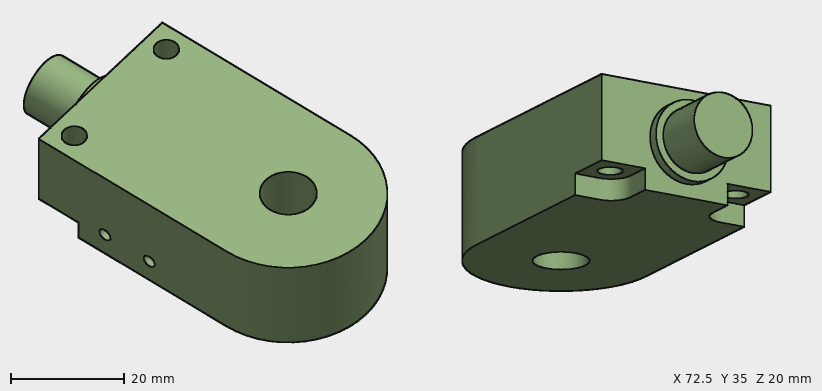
import cadquery as cq
import math

total_length = 72.5
housing_width = 35.0
housing_height = 20.0

flange_diameter = 15.0
flange_length = 2.0
barrel_diameter = 12.0
barrel_length = 10.5

housing_length = total_length - flange_length - barrel_length
nose_radius = housing_width / 2
nose_center_x = housing_length - nose_radius
bore_diameter = 10.1

mount_diameter = 4.5
mount_inset = 4.5
recess_side = 9.0
recess_height = 4.0
recess_corner_radius = 4.0

drill_diameter = 2.5
drill_depth = 5.0
drill_tip_angle = 118.0
drill_z = 5.0
first_drill_x = 15.0
drill_spacing = 10.0
drill_count = 2


def housing_blank():
    """Block with one semicircular end."""
    return (
        cq.Workplane("XY")
        .moveTo(0, -nose_radius)
        .lineTo(nose_center_x, -nose_radius)
        .threePointArc((housing_length, 0), (nose_center_x, nose_radius))
        .lineTo(0, nose_radius)
        .close()
        .extrude(housing_height)
    )


def vertical_hole(diameter, x, y):
    """Cutter for a hole through the full housing height."""
    return cq.Workplane("XY").center(x, y).circle(diameter / 2).extrude(housing_height)


def corner_recess(side):
    """Cutter for the bottom corner on the given Y side, its inner corner rounded."""
    center_x = recess_side / 2
    center_y = side * (nose_radius - recess_side / 2)
    inner_edge = ">X and <Y" if side > 0 else ">X and >Y"
    return (
        cq.Workplane("XY")
        .center(center_x, center_y)
        .rect(recess_side, recess_side)
        .extrude(recess_height)
        .edges("|Z")
        .edges(inner_edge)
        .fillet(recess_corner_radius)
    )


def drilled_hole(x):
    """Cutter for a blind hole with a conical tip, running from the -Y side towards +Y."""
    radius = drill_diameter / 2
    tip_length = radius / math.tan(math.radians(drill_tip_angle / 2))
    entry_y = -nose_radius
    shoulder_y = entry_y + drill_depth
    return (
        cq.Workplane("XY")
        .moveTo(0, entry_y)
        .lineTo(radius, entry_y)
        .lineTo(radius, shoulder_y)
        .lineTo(0, shoulder_y + tip_length)
        .close()
        .revolve(360, (0, 0, 0), (0, 1, 0))
        .translate((x, 0, drill_z))
    )


def make_housing():
    """Housing with its bore, mounting holes, corner recesses and drilled holes."""
    body = housing_blank()
    body = body.cut(vertical_hole(bore_diameter, nose_center_x, 0))
    for side in (-1, 1):
        mount_y = side * (nose_radius - mount_inset)
        body = body.cut(vertical_hole(mount_diameter, mount_inset, mount_y))
        body = body.cut(corner_recess(side))
    for index in range(drill_count):
        body = body.cut(drilled_hole(first_drill_x + index * drill_spacing))
    return body


def make_connector():
    """Flange seated on the flat end of the housing, with the barrel in front of it."""
    end_face = cq.Workplane("YZ").center(0, housing_height / 2)
    flange = end_face.circle(flange_diameter / 2).extrude(-flange_length)
    barrel = end_face.circle(barrel_diameter / 2).extrude(-(flange_length + barrel_length))
    return flange.union(barrel)


housing = make_housing()
connector = make_connector()

result = cq.Compound.makeCompound([housing.solids().val(), connector.solids().val()])